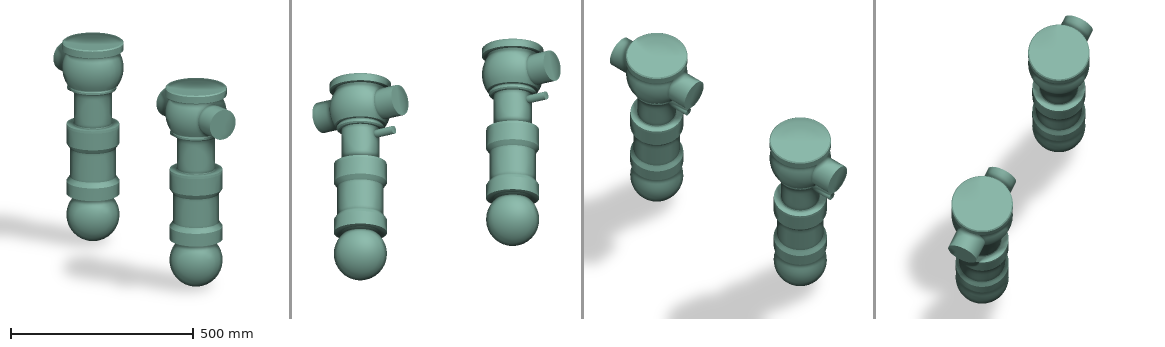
import cadquery as cq

TOTAL_LENGTH = 760.0
PIPE_REACH = 130.0
RIGHT_AXIS_X = TOTAL_LENGTH / 2 - PIPE_REACH
LEFT_AXIS_X = PIPE_REACH - TOTAL_LENGTH / 2

BALL_RADIUS = 73.0
BALL_CENTRE_Z = BALL_RADIUS
BALL_FLAT_RADIUS = 48.0
BALL_TOP_Z = BALL_CENTRE_Z + (BALL_RADIUS**2 - BALL_FLAT_RADIUS**2) ** 0.5

FOOT_SMALL_RADIUS = 39.0
SLEEVE_BOTTOM_Z = 134.5
LOWER_BAND_TOP_Z = 171.0
BARREL_BOTTOM_Z = 185.0
BARREL_TOP_Z = 267.0
UPPER_BAND_BOTTOM_Z = 280.5
SLEEVE_TOP_Z = 335.0
BAND_RADIUS = 146.0 / 2
BARREL_RADIUS = 127.0 / 2
SLEEVE_TOP_CHAMFER_HEIGHT = 7.0
SLEEVE_TOP_CHAMFER_WIDTH = 1.0

TUBE_RADIUS = 105.0 / 2
TUBE_FOOT_FLARE = 2.0
COLLAR_RADIUS = 130.0 / 2
COLLAR_BOTTOM_Z = 433.0
COLLAR_TOP_Z = 446.0
COLLAR_CHAMFER = 4.0
PORT_RADIUS = 22.0 / 2
PORT_REACH = 110.0
PORT_Z = 413.0

SEAT_RADIUS = 120.0 / 2
FLANGE_RADIUS = 169.0 / 2
FLANGE_CHAMFER = 3.0
GLOBE_RADIUS = FLANGE_RADIUS
NECK_RADIUS = 140.0 / 2
PIPE_RADIUS = 85.0 / 2
GLOBE_CENTRE_Z = 495.5
FLANGE_TOP_Z = 571.0
FLANGE_THICKNESS = 22.0
FLANGE_BOTTOM_Z = FLANGE_TOP_Z - FLANGE_THICKNESS
GLOBE_HALF_HEIGHT = (GLOBE_RADIUS**2 - NECK_RADIUS**2) ** 0.5


def disc(radius, bottom_z, top_z):
    """Vertical cylinder between two heights."""
    return cq.Workplane("XY").workplane(offset=bottom_z).circle(radius).extrude(top_z - bottom_z)


def side_cylinder(radius, z, start_x, end_x):
    """Horizontal cylinder along X at height z."""
    return cq.Workplane("YZ", origin=(start_x, 0, z)).circle(radius).extrude(end_x - start_x)


def make_ball():
    """Sphere with a flat on top."""
    side_point = (BALL_RADIUS, BALL_CENTRE_Z)
    profile = (
        cq.Workplane("XZ")
        .moveTo(0, 0)
        .threePointArc(side_point, (BALL_FLAT_RADIUS, BALL_TOP_Z))
        .lineTo(0, BALL_TOP_Z)
        .close()
    )
    return profile.revolve(360, (0, 0), (0, 1))


def make_sleeve():
    """Turned sleeve whose tapered foot rests on the flat of the ball."""
    outline = [
        (0, BALL_TOP_Z),
        (FOOT_SMALL_RADIUS, BALL_TOP_Z),
        (TUBE_RADIUS, SLEEVE_BOTTOM_Z),
        (BAND_RADIUS, SLEEVE_BOTTOM_Z),
        (BAND_RADIUS, LOWER_BAND_TOP_Z),
        (BARREL_RADIUS, BARREL_BOTTOM_Z),
        (BARREL_RADIUS, BARREL_TOP_Z),
        (BAND_RADIUS, UPPER_BAND_BOTTOM_Z),
        (BAND_RADIUS, SLEEVE_TOP_Z - SLEEVE_TOP_CHAMFER_HEIGHT),
        (BAND_RADIUS - SLEEVE_TOP_CHAMFER_WIDTH, SLEEVE_TOP_Z),
        (0, SLEEVE_TOP_Z),
    ]
    return cq.Workplane("XZ").polyline(outline).close().revolve(360, (0, 0), (0, 1))


def make_tube():
    """Tube on the sleeve, with a flared foot, a collar at its top and a port toward -X."""
    tube = disc(TUBE_RADIUS, SLEEVE_TOP_Z, COLLAR_TOP_Z)
    foot_radius = TUBE_RADIUS + TUBE_FOOT_FLARE
    foot = cq.Solid.makeCone(foot_radius, TUBE_RADIUS, TUBE_FOOT_FLARE, pnt=cq.Vector(0, 0, SLEEVE_TOP_Z))
    collar = disc(COLLAR_RADIUS, COLLAR_BOTTOM_Z, COLLAR_TOP_Z).edges().chamfer(COLLAR_CHAMFER)
    port = side_cylinder(PORT_RADIUS, PORT_Z, -PORT_REACH, 0)
    return tube.union(cq.Workplane(foot)).union(collar).union(port)


def make_head(pipe_end_x):
    """Globe head with a flange; its pipe runs from -X to pipe_end_x."""
    globe_bottom_z = GLOBE_CENTRE_Z - GLOBE_HALF_HEIGHT
    globe = cq.Workplane("XY").sphere(GLOBE_RADIUS).translate((0, 0, GLOBE_CENTRE_Z))
    globe = globe.intersect(disc(GLOBE_RADIUS, globe_bottom_z, GLOBE_CENTRE_Z + GLOBE_HALF_HEIGHT))
    seat = disc(SEAT_RADIUS, COLLAR_TOP_Z, GLOBE_CENTRE_Z)
    neck = disc(NECK_RADIUS, GLOBE_CENTRE_Z, FLANGE_TOP_Z)
    flange = disc(FLANGE_RADIUS, FLANGE_BOTTOM_Z, FLANGE_TOP_Z).faces(">Z").chamfer(FLANGE_CHAMFER)
    pipe = side_cylinder(PIPE_RADIUS, GLOBE_CENTRE_Z, -PIPE_REACH, pipe_end_x)
    return globe.union(seat).union(neck).union(flange).union(pipe)


stations = [(LEFT_AXIS_X, 0), (RIGHT_AXIS_X, PIPE_REACH)]
bodies = []
for axis_x, pipe_end_x in stations:
    for body in (make_ball(), make_sleeve(), make_tube(), make_head(pipe_end_x)):
        bodies.append(body.translate((axis_x, 0, 0)).val())

result = cq.Compound.makeCompound(bodies)